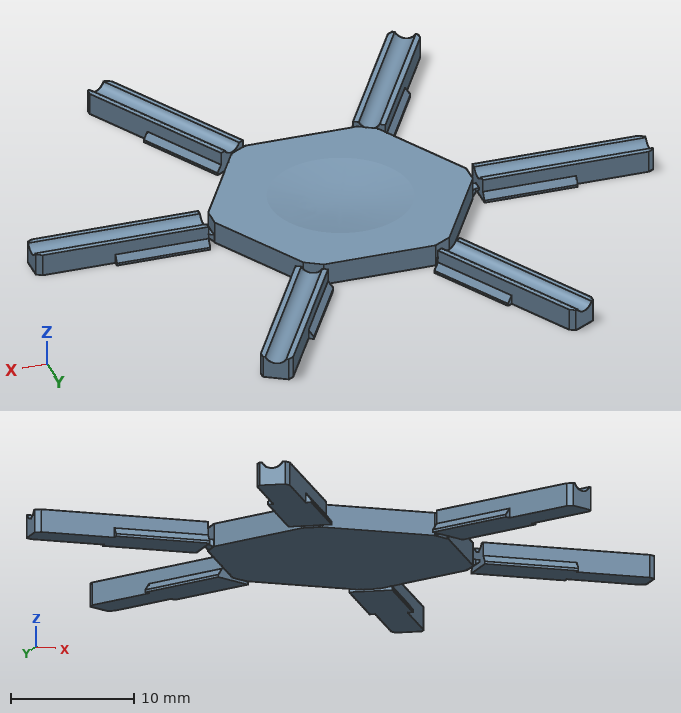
import cadquery as cq
import math

thickness = 1.9
arm_count = 6
arm_tip_radius = 26.4

hub_across_flats = 19.95
hub_corner_radius = 11.05
dish_diameter = 12.0
dish_depth = 0.5

arm_root_radius = 11.7
arm_width = 2.7
tip_chamfer_length = 0.5
tip_chamfer_width = 0.29
groove_radius = 1.0
groove_depth = groove_radius / 2

flange_end_radius = 19.7
flange_span = 3.6
flange_height = 0.8
flange_edge_height = 0.2

neck_arm_width = 0.85
neck_hub_width = 1.35
neck_taper_length = 0.35
neck_top = 0.65
neck_arm_height = 0.15


def make_hub():
    """Hexagonal plate with flattened corners and a shallow spherical dish on top."""
    corner_to_corner = hub_across_flats / math.cos(math.pi / arm_count)
    hexagon = cq.Workplane("XY").polygon(arm_count, corner_to_corner).extrude(thickness)
    trim = (
        cq.Workplane("XY")
        .polygon(arm_count, 2 * hub_corner_radius / math.cos(math.pi / arm_count))
        .extrude(thickness)
        .rotate((0, 0, 0), (0, 0, 1), 180 / arm_count)
    )
    dish_radius = dish_diameter / 2
    sphere_radius = (dish_radius**2 + dish_depth**2) / (2 * dish_depth)
    sphere_height = thickness - dish_depth + sphere_radius
    sphere = cq.Workplane("XY").sphere(sphere_radius).translate((0, 0, sphere_height))
    return hexagon.intersect(trim).cut(sphere)


def make_bar():
    """Main bar of the arm along +X, with a chamfered tip and a round groove on top."""
    half_width = arm_width / 2
    shoulder = arm_tip_radius - tip_chamfer_length
    tip_half_width = half_width - tip_chamfer_width
    bar = (
        cq.Workplane("XY")
        .polyline([
            (arm_root_radius, -half_width),
            (shoulder, -half_width),
            (arm_tip_radius, -tip_half_width),
            (arm_tip_radius, tip_half_width),
            (shoulder, half_width),
            (arm_root_radius, half_width),
        ])
        .close()
        .extrude(thickness)
    )
    groove_axis_height = thickness - groove_depth + groove_radius
    groove = (
        cq.Workplane("YZ", origin=(arm_root_radius, 0, groove_axis_height))
        .circle(groove_radius)
        .extrude(arm_tip_radius - arm_root_radius)
    )
    return bar.cut(groove)


def make_flanges():
    """Low section under the arm whose sloped sides stand out on both flanks."""
    half_span = flange_span / 2
    half_width = arm_width / 2
    return (
        cq.Workplane("YZ", origin=(arm_root_radius, 0, 0))
        .polyline([
            (-half_span, 0),
            (half_span, 0),
            (half_span, flange_edge_height),
            (half_width, flange_height),
            (-half_width, flange_height),
            (-half_span, flange_edge_height),
        ])
        .close()
        .extrude(flange_end_radius - arm_root_radius)
    )


def make_neck():
    """Flat-topped neck between hub and arm, tapering towards the arm in plan and from below."""
    length = arm_root_radius - hub_corner_radius
    taper_end = hub_corner_radius + neck_taper_length
    plan = (
        cq.Workplane("XY")
        .polyline([
            (hub_corner_radius, -neck_hub_width / 2),
            (taper_end, -neck_arm_width / 2),
            (arm_root_radius, -neck_arm_width / 2),
            (arm_root_radius, neck_arm_width / 2),
            (taper_end, neck_arm_width / 2),
            (hub_corner_radius, neck_hub_width / 2),
        ])
        .close()
        .extrude(neck_top)
    )
    side = (
        cq.Workplane("XZ", origin=(hub_corner_radius, neck_hub_width / 2, 0))
        .polyline([
            (0, 0),
            (length, neck_top - neck_arm_height),
            (length, neck_top),
            (0, neck_top),
        ])
        .close()
        .extrude(neck_hub_width)
    )
    return plan.intersect(side)


arm = make_bar().union(make_flanges()).union(make_neck())

result = make_hub()
for index in range(arm_count):
    result = result.union(arm.rotate((0, 0, 0), (0, 0, 1), index * 360 / arm_count))